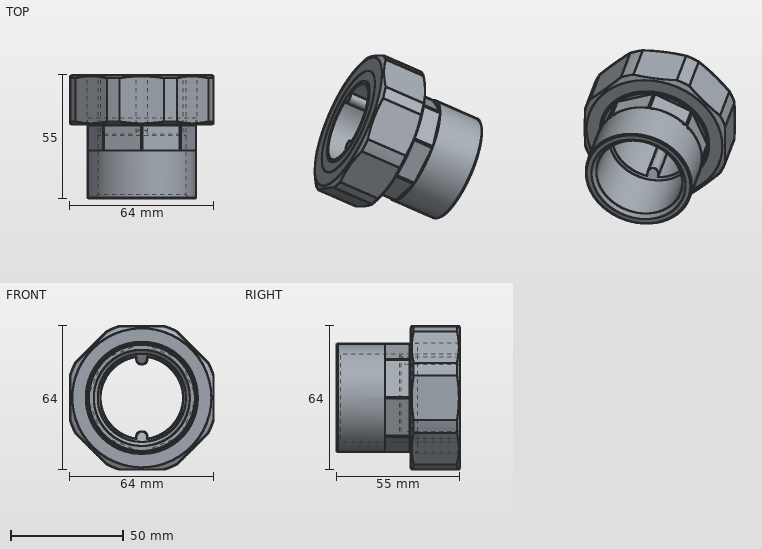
import cadquery as cq
import math

total_length = 55.0

nut_sides = 8
nut_across_flats = 64.0
nut_across_corners = 67.0
nut_length = 22.0
nut_start = total_length - nut_length
nut_face_diameter = 62.0
nut_face_slope = 28.0
nut_bore_diameter = 49.0
nut_bore_chamfer = 0.5

tail_diameter = 48.4
tail_mouth_chamfer = 0.5
tail_bore_diameter = 39.3
tail_bore_chamfer = 1.8
wrench_sides = 8
wrench_across_flats = 45.0
wrench_start = 21.5
wrench_end = 32.5
collar_setback = 3.0

insert_start = 28.0
insert_bore_diameter = 36.8
insert_face_slope = 30.0
rib_width = 5.0
rib_tip_radius = 14.9
rib_count = 2


def revolve_profile(points):
    """Revolve a closed (radius, Y) outline about the Y axis."""
    return cq.Workplane("XY").polyline(points).close().revolve(360, (0, 0, 0), (0, 1, 0))


def cylinder(diameter, start, end):
    """Cylinder on the Y axis between two Y positions."""
    return cq.Workplane("XZ", origin=(0, start, 0)).circle(diameter / 2).extrude(start - end)


def regular_prism(sides, across_flats, start, end, turn):
    """Regular prism on the Y axis, with a corner on +X turned by the given angle."""
    corner_diameter = across_flats / math.cos(math.pi / sides)
    return (
        cq.Workplane("XZ", origin=(0, start, 0))
        .polygon(sides, corner_diameter)
        .extrude(start - end)
        .rotate((0, 0, 0), (0, 1, 0), turn)
    )


def make_nut():
    corner_radius = nut_across_corners / 2
    face_radius = nut_face_diameter / 2
    bore_radius = nut_bore_diameter / 2
    bevel_length = (corner_radius - face_radius) * math.tan(math.radians(nut_face_slope))

    blank = revolve_profile([
        (bore_radius + nut_bore_chamfer, nut_start),
        (face_radius, nut_start),
        (corner_radius, nut_start + bevel_length),
        (corner_radius, total_length - bevel_length),
        (face_radius, total_length),
        (bore_radius, total_length),
        (bore_radius, nut_start + nut_bore_chamfer),
    ])
    flats = regular_prism(nut_sides, nut_across_flats, nut_start, total_length, 180 / nut_sides)
    return blank.intersect(flats)


def make_tailpiece():
    outer_radius = tail_diameter / 2
    collar_radius = nut_bore_diameter / 2
    collar_start = nut_start + collar_setback
    bore_radius = tail_bore_diameter / 2
    body = revolve_profile([
        (bore_radius + tail_bore_chamfer, 0),
        (outer_radius - tail_mouth_chamfer, 0),
        (outer_radius, tail_mouth_chamfer),
        (outer_radius, collar_start),
        (collar_radius, collar_start),
        (collar_radius, total_length),
        (bore_radius, total_length),
        (bore_radius, tail_bore_chamfer),
    ])
    wrench_waste = cylinder(nut_bore_diameter, wrench_start, wrench_end).cut(
        regular_prism(wrench_sides, wrench_across_flats, wrench_start, wrench_end, 0)
    )
    return body.cut(wrench_waste)


def make_insert():
    outer_radius = tail_bore_diameter / 2
    cone_depth = outer_radius * math.tan(math.radians(insert_face_slope))
    plug = revolve_profile([
        (outer_radius, insert_start),
        (outer_radius, total_length),
        (0, total_length),
        (0, insert_start + cone_depth),
    ])
    opening = cylinder(insert_bore_diameter, insert_start, total_length)
    rib_nose_center = rib_tip_radius + rib_width / 2
    for index in range(rib_count):
        rib = (
            cq.Workplane("XZ", origin=(0, insert_start, 0))
            .moveTo(rib_width / 2, outer_radius)
            .lineTo(rib_width / 2, rib_nose_center)
            .threePointArc((0, rib_tip_radius), (-rib_width / 2, rib_nose_center))
            .lineTo(-rib_width / 2, outer_radius)
            .close()
            .extrude(insert_start - total_length)
            .rotate((0, 0, 0), (0, 1, 0), index * 360 / rib_count)
        )
        opening = opening.cut(rib)
    return plug.cut(opening)


nut = make_nut()
tailpiece = make_tailpiece()
insert = make_insert()

result = cq.Compound.makeCompound([nut.val(), tailpiece.val(), insert.val()])